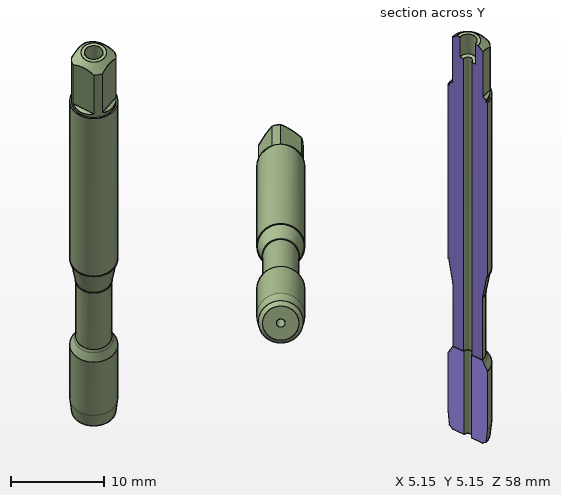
import cadquery as cq
import math

total_length = 58.0
body_diameter = 5.15
neck_diameter = 3.9

head_tip_height = 0.4
head_tip_diameter = 3.9
lead_small_diameter = 4.8
lead_top = 2.3
head_cylinder_top = 10.9
head_cone_top = 11.9
head_top = 12.25
head_collar_diameter = 4.2
head_bore_diameter = 0.9

relief_top = 21.65
relief_bottom = 21.4
relief_diameter = 4.0
shank_cone_top = 24.7
shank_cone_diameter = 5.0
shank_top = 50.2
shank_bore_diameter = 1.0

drive_diameter = 4.8
drive_width = 4.0
flat_bottom = 50.8
runout_angle = 30.0
drive_corner_top = 57.1
drive_face_diameter = 2.7
socket_diameter = 2.0
socket_depth = 2.9


def turned(stations):
    """Revolve (diameter, height) stations about the Z axis."""
    outline = [(0, stations[0][1])]
    outline += [(diameter / 2, height) for diameter, height in stations]
    outline.append((0, stations[-1][1]))
    return cq.Workplane("XZ").polyline(outline).close().revolve(360, (0, 0), (0, 1))


def bore(diameter, bottom, top):
    return cq.Workplane("XY").workplane(offset=bottom).circle(diameter / 2).extrude(top - bottom)


def flat_cutter():
    """Material removed for one drive flat, ending in a sloped run-out."""
    inner = drive_width / 2
    outer = body_diameter / 2
    runout_drop = (outer - inner) * math.tan(math.radians(runout_angle))
    outline = [
        (inner, flat_bottom),
        (inner, total_length),
        (outer, total_length),
        (outer, flat_bottom - runout_drop),
    ]
    return cq.Workplane("XZ").polyline(outline).close().extrude(body_diameter / 2, both=True)


def make_head():
    head = turned([
        (head_tip_diameter, 0),
        (lead_small_diameter, head_tip_height),
        (body_diameter, lead_top),
        (body_diameter, head_cylinder_top),
        (head_collar_diameter, head_cone_top),
        (neck_diameter, head_top),
    ])
    return head.cut(bore(head_bore_diameter, 0, head_top))


def make_shank():
    shank = turned([
        (neck_diameter, head_top),
        (neck_diameter, relief_bottom),
        (relief_diameter, relief_bottom),
        (relief_diameter, relief_top),
        (shank_cone_diameter, shank_cone_top),
        (body_diameter, shank_cone_top),
        (body_diameter, shank_top),
        (drive_diameter, shank_top),
        (drive_diameter, drive_corner_top),
        (drive_face_diameter, total_length),
    ])
    flat_count = 4
    for index in range(flat_count):
        shank = shank.cut(flat_cutter().rotate((0, 0, 0), (0, 0, 1), index * 360 / flat_count))
    shank = shank.cut(bore(shank_bore_diameter, head_top, total_length))
    return shank.cut(bore(socket_diameter, total_length - socket_depth, total_length))


head = make_head()
shank = make_shank()
result = cq.Compound.makeCompound([head.val(), shank.val()])